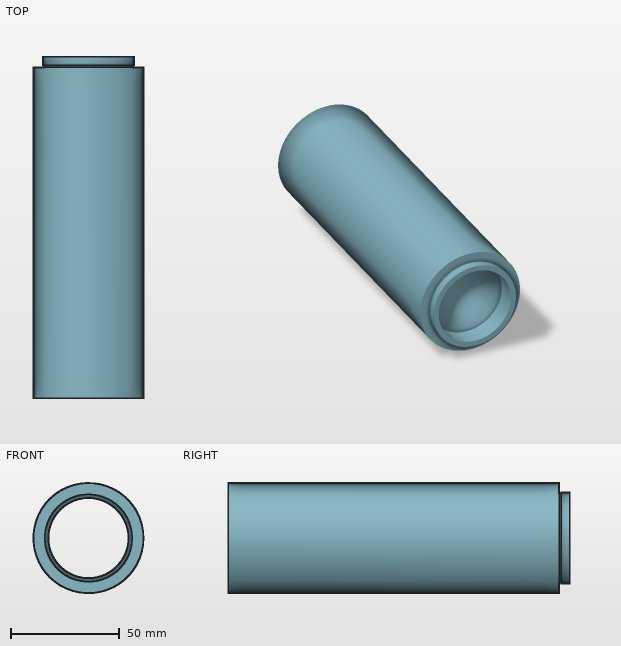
import cadquery as cq

total_length = 157.4
body_diameter = 50.8
bore_diameter = 40.3

spigot_length = 4.9
spigot_diameter = 42.0
groove_width = 1.0
groove_depth = 0.4

opening_diameter = 36.8
lip_length = 2 * spigot_length

body_length = total_length - spigot_length
bore_depth = total_length - lip_length
groove_diameter = spigot_diameter - 2 * groove_depth
front_y = -total_length / 2


def cylinder(diameter, start, length):
    """Cylinder along +Y, starting at a distance from the open end."""
    plane = cq.Workplane("XZ", origin=(0, front_y + start, 0))
    return plane.circle(diameter / 2).extrude(-length)


body = cylinder(body_diameter, 0, body_length)
groove_core = cylinder(groove_diameter, body_length, groove_width)
collar = cylinder(spigot_diameter, body_length + groove_width, spigot_length - groove_width)
outside = body.union(groove_core).union(collar)

main_bore = cylinder(bore_diameter, 0, bore_depth)
opening = cylinder(opening_diameter, 0, total_length)

result = outside.cut(main_bore).cut(opening)